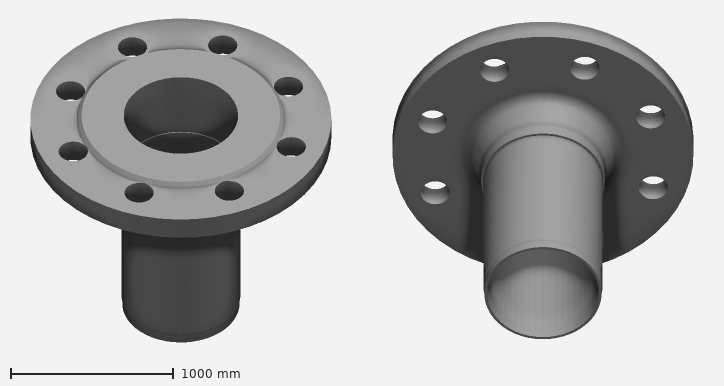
import cadquery as cq
import math

total_height = 1550.0
raised_face_height = 30.0
flange_thickness = 150.0
flange_body_height = 450.0
collar_height = 100.0

flange_diameter = 1850.0
raised_face_top_diameter = 1221.0
raised_face_base_diameter = raised_face_top_diameter + 2 * raised_face_height
neck_top_diameter = 914.0
collar_diameter = 760.0
flange_bore = 703.0
neck_root_fillet = 63.0
collar_fillet = 30.0

bolt_count = 8
bolt_hole_diameter = 180.0
bolt_circle_diameter = 1450.0

pipe_diameter = 733.0
pipe_bore = 688.0
spigot_diameter = 722.0
spigot_height = 65.0
spigot_chamfer_height = 7.0

plate_top = total_height - raised_face_height
plate_bottom = plate_top - flange_thickness
joint_level = total_height - flange_body_height
collar_top = joint_level + collar_height


def neck_blank():
    """Plate, conical neck, collar and raised face, revolved about Z."""
    outline = [
        (0, joint_level),
        (collar_diameter / 2, joint_level),
        (collar_diameter / 2, collar_top),
        (neck_top_diameter / 2, plate_bottom),
        (flange_diameter / 2, plate_bottom),
        (flange_diameter / 2, plate_top),
        (raised_face_base_diameter / 2, plate_top),
        (raised_face_top_diameter / 2, total_height),
        (0, total_height),
    ]
    return cq.Workplane("XZ").polyline(outline).close().revolve(360, (0, 0), (0, 1))


def circle_at(diameter, level):
    """Selector for the circular edge of a given diameter at a given level."""
    tolerance = 0.2
    half_box = diameter / 2 + tolerance
    return cq.selectors.BoxSelector(
        (-half_box, -half_box, level - tolerance),
        (half_box, half_box, level + tolerance),
        boundingbox=True,
    )


def make_flange():
    """Welding-neck flange with bore and bolt holes."""
    flange = neck_blank()
    flange = flange.edges(circle_at(neck_top_diameter, plate_bottom)).fillet(neck_root_fillet)
    flange = flange.edges(circle_at(collar_diameter, collar_top)).fillet(collar_fillet)

    bore = cq.Workplane("XY").circle(flange_bore / 2).extrude(total_height)
    flange = flange.cut(bore)

    for index in range(bolt_count):
        angle = 2 * math.pi * index / bolt_count
        x = bolt_circle_diameter / 2 * math.cos(angle)
        y = bolt_circle_diameter / 2 * math.sin(angle)
        hole = cq.Workplane("XY").center(x, y).circle(bolt_hole_diameter / 2).extrude(total_height)
        flange = flange.cut(hole)
    return flange


def make_pipe():
    """Pipe butted against the collar, with a slightly reduced lower end."""
    outline = [
        (pipe_bore / 2, 0),
        (spigot_diameter / 2, 0),
        (spigot_diameter / 2, spigot_height),
        (pipe_diameter / 2, spigot_height + spigot_chamfer_height),
        (pipe_diameter / 2, joint_level),
        (pipe_bore / 2, joint_level),
    ]
    return cq.Workplane("XZ").polyline(outline).close().revolve(360, (0, 0), (0, 1))


flange = make_flange()
pipe = make_pipe()

result = cq.Compound.makeCompound([flange.solids().val(), pipe.val()])